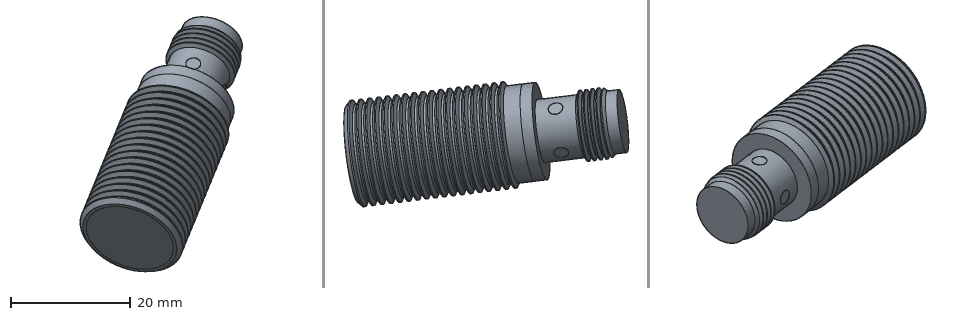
import cadquery as cq
import math


total_length = 46.0
connector_length = 13.95
collar_length = 2.02
collar_end = total_length - connector_length
housing_length = collar_end - collar_length

flank_slope = math.tan(math.radians(30))

housing_root_radius = 8.25
housing_crest_radius = 18.0 / 2
housing_crest_width = 0.25
housing_ridge_count = 18
housing_first_ridge = 0.9
housing_last_ridge = 26.65
housing_pitch = (housing_last_ridge - housing_first_ridge) / (housing_ridge_count - 1)
housing_chamfer = housing_crest_radius - housing_root_radius

connector_root_radius = 5.35
connector_crest_radius = 6.05
connector_crest_width = 0.2
connector_pitch = 1.05
connector_ridge_count = 5
connector_tip_length = 2.0
connector_last_ridge = total_length - 2.35
connector_first_ridge = connector_last_ridge - (connector_ridge_count - 1) * connector_pitch

core_radius = 7.65

lens_count = 4
lens_radius = 1.25
lens_depth = 0.9
lens_face_radius = 5.25
lens_position = total_length - 10.5


def revolve_profile(points):
    """Revolve a closed outline of (radius, y) points around the Y axis."""
    return cq.Workplane("XY").polyline(points).close().revolve(360, (0, 0, 0), (0, 1, 0))


def cylinder(radius, start, end):
    """Solid cylinder on the Y axis between two Y positions."""
    return revolve_profile([(0, start), (radius, start), (radius, end), (0, end)])


def ridge_points(center, root_radius, crest_radius, crest_width):
    """Outline of one flat-topped thread ridge, in the order of rising Y."""
    crest_half = crest_width / 2
    base_half = crest_half + (crest_radius - root_radius) * flank_slope
    return [
        (root_radius, center - base_half),
        (crest_radius, center - crest_half),
        (crest_radius, center + crest_half),
        (root_radius, center + base_half),
    ]


def threaded_rod(start, end, first_ridge, count, pitch, root_radius, crest_radius, crest_width):
    """Solid rod with evenly spaced thread ridges."""
    points = [(0, start), (root_radius, start)]
    for index in range(count):
        center = first_ridge + index * pitch
        points += ridge_points(center, root_radius, crest_radius, crest_width)
    points += [(root_radius, end), (0, end)]
    return revolve_profile(points)


def make_housing():
    """Threaded sleeve, open from end to end, with a chamfered front edge."""
    rod = threaded_rod(
        0, housing_length, housing_first_ridge, housing_ridge_count, housing_pitch,
        housing_root_radius, housing_crest_radius, housing_crest_width,
    )
    front_cone = revolve_profile([
        (0, 0),
        (housing_root_radius, 0),
        (housing_crest_radius, housing_chamfer),
        (housing_crest_radius, housing_first_ridge),
        (0, housing_first_ridge),
    ])
    return rod.union(front_cone).cut(cylinder(core_radius, 0, housing_length))


def make_core():
    """Plug that fills the sleeve flush with its front edge."""
    return cylinder(core_radius, 0, housing_length)


def make_collar():
    """Plain ring-shaped end piece between the housing and the connector."""
    return cylinder(housing_root_radius, housing_length, collar_end)


def lens_cylinder(angle, outer_radius):
    """Radial cylinder at the lens position, turned around the Y axis."""
    inner_radius = lens_face_radius - lens_depth
    blank = (
        cq.Workplane("XY", origin=(0, lens_position, inner_radius))
        .circle(lens_radius)
        .extrude(outer_radius - inner_radius)
    )
    return blank.rotate((0, 0, 0), (0, 1, 0), angle)


def make_connector(angles):
    """Connector with a threaded end, a plain neck and seats for the lenses."""
    rod = threaded_rod(
        collar_end, total_length, connector_first_ridge, connector_ridge_count, connector_pitch,
        connector_root_radius, connector_crest_radius, connector_crest_width,
    )
    bevel_start = total_length - connector_tip_length
    bevel_end = bevel_start - (connector_crest_radius - connector_root_radius)
    lead_in = revolve_profile([
        (connector_root_radius, total_length),
        (connector_crest_radius, total_length),
        (connector_crest_radius, bevel_end),
        (connector_root_radius, bevel_start),
    ])
    connector = rod.cut(lead_in)
    for angle in angles:
        connector = connector.cut(lens_cylinder(angle, connector_crest_radius))
    return connector


lens_angles = [index * 360 / lens_count for index in range(lens_count)]

housing = make_housing()
core = make_core()
collar = make_collar()
connector = make_connector(lens_angles)
lenses = [lens_cylinder(angle, lens_face_radius) for angle in lens_angles]

result = cq.Compound.makeCompound([
    housing.val(),
    core.val(),
    collar.val(),
    connector.val(),
    *[lens.val() for lens in lenses],
])